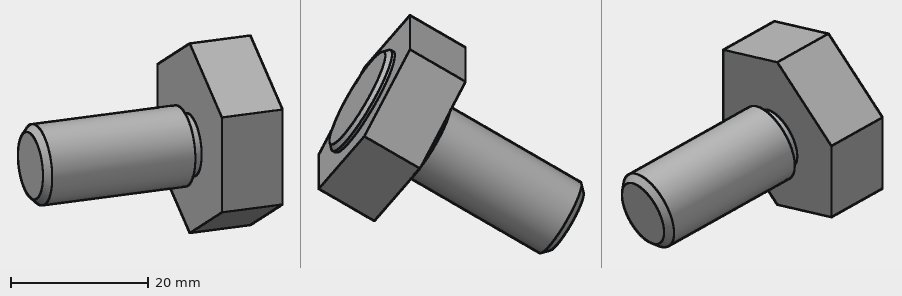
import cadquery as cq
import math

across_flats = 25.4
across_corners = across_flats / math.cos(math.pi / 6)
head_thickness = 9.53

pad_diameter = 17.0
pad_thickness = 1.18
pad_chamfer = 0.7

total_length = 35.7
shank_diameter = 12.0
shank_offset = 1.0
tip_chamfer = 1.05
neck_diameter = 9.4
neck_length = 1.5
shank_length = total_length - pad_thickness - head_thickness - neck_length

front_plane = cq.Workplane("XZ")
back_plane = cq.Workplane("XZ", origin=(0, head_thickness + pad_thickness, 0))


def make_head():
    """Hexagonal prism with two corners pointing along Z."""
    prism = front_plane.polygon(6, across_corners).extrude(-head_thickness)
    return prism.rotate((0, 0, 0), (0, 1, 0), 30)


def make_pad():
    """Disc centred on the head, with its outer edge chamfered."""
    disc = back_plane.circle(pad_diameter / 2).extrude(pad_thickness)
    return disc.faces(">Y").chamfer(pad_chamfer)


def make_shank():
    """Eccentric neck and shank, chamfered at the tip."""
    neck = front_plane.center(0, -shank_offset).circle(neck_diameter / 2).extrude(neck_length)
    shank = (
        cq.Workplane("XZ", origin=(0, -neck_length, -shank_offset))
        .circle(shank_diameter / 2)
        .extrude(shank_length)
        .faces("<Y")
        .chamfer(tip_chamfer)
    )
    return neck.union(shank)


result = make_head().union(make_pad()).union(make_shank())